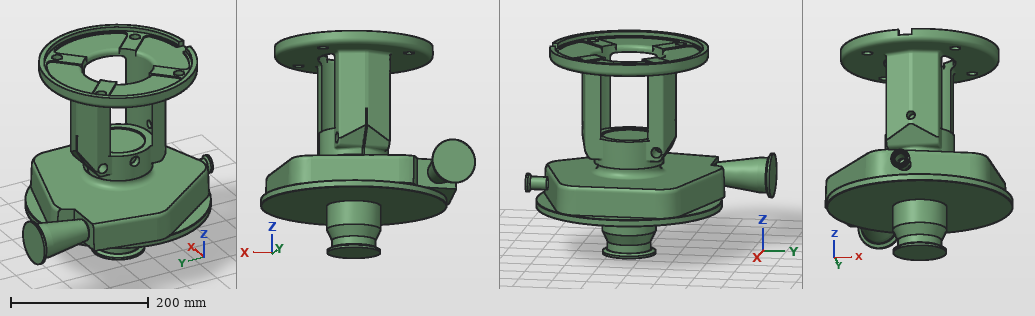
import cadquery as cq
import math

Z_NECK_TOP = 18.2
Z_BODY_START = 34.2
Z_PLATE_BOTTOM = 69.0
Z_CASING_BOTTOM = 79.0
Z_CASING_TOP = 121.0
Z_HUB_BOTTOM = 135.5
Z_LEG_BOTTOM = 145.3
Z_HUB_TOP = 176.0
Z_FLANGE_BOTTOM = 286.8
Z_FLANGE_TOP = 305.0

SUCTION_BODY_RADIUS = 39.25
SUCTION_NECK_RADIUS = 31.75
SUCTION_RIM_RADIUS = 38.6
PLATE_RADIUS = 135.0
PLATE_CHAMFER = 0.8

CASING_RADIUS = 35.0
CASING_CORNERS = [
    (115.6, -82.8),
    (115.6, 85.6),
    (-39.0, 133.4),
    (-121.6, 121.0),
    (-142.6, -0.6),
    (-43.0, -135.8),
]
UNROUNDED_CORNER = 3
CASING_DRAFT = 2.0
CASING_EDGE_RADIUS = 8.5
CASING_EDGE_EXCESS = 1.6
OUTLET_FACE_Y = 109.6
OUTLET_FACE_END_X = -64.8
OUTLET_SHOULDER_ANGLE = 61.0

HUB_RADIUS = 50.3
HUB_NECK_RADIUS = 45.2
HUB_NECK_FILLET = 10.0
HUB_RECESS_RADIUS = 39.6
HUB_RECESS_DEPTH = 2.0
HUB_RECESS_TAPER = 0.8
HUB_HOLE_Z = 164.0

CLAMP_HOLE_DIAMETER = 15.0
CLAMP_HOLE_Y = 47.2
CLAMP_HOLE_Z = 159.0
CLAMP_SLIT_WIDTH = 2.4
CLAMP_SLIT_TOP = 200.0

LEG_HALF_WIDTH = 38.8
LEG_RIDGE_Y = 68.7
LEG_RIDGE_HALF_WIDTH = 2.35
LEG_SIDE_Y = 57.6
LEG_EDGE_RADIUS = 3.0
LEG_TOP_FILLET = 5.0
LEG_HUB_FILLET = 3.0
LEG_BEVEL_TOP_Z = 175.0
LEG_BEVEL_ANGLE = 29.0
LEG_BEVEL_RADIUS = 8.0
LEG_HOLE_DIAMETER = 12.0
LEG_HOLE_Z = 188.3

FLANGE_RADIUS = 115.0
FLANGE_EDGE_RADIUS = 7.0
FLANGE_BORE_RADIUS = 52.0
FLANGE_BORE_ROUND = 6.0
RIM_INNER_RADIUS = 107.3
RECESS_DEPTH = 6.2
POCKET_DEPTH = 2.1
POCKET_OUTER_RADIUS = 103.4
POCKET_CORNER_RADIUS = 8.0
SPOKE_WIDTH = 24.4
BOLT_CIRCLE_RADIUS = 91.8
BOLT_HOLE_DIAMETER = 15.0
SPOKE_COUNT = 4
FIRST_SPOKE_ANGLE = 45.0
NOTCH_WIDTH = 20.0

OUTLET_X = -96.0
OUTLET_Z = 101.5
OUTLET_END_Y = 194.75
OUTLET_RIM_RADIUS = 32.0
OUTLET_NECK_RADIUS = 25.6
OUTLET_NECK_START_Y = 176.0
OUTLET_ROOT_RADIUS = 16.2
OUTLET_ROOT_Y = 112.0
OUTLET_ROOT_CHAMFER = 2.5

DRAIN_Z = 98.4
DRAIN_END_Y = -150.75
DRAIN_RADIUS = 9.5
DRAIN_RIM_RADIUS = 13.4
DRAIN_BORE_RADIUS = 8.0
DRAIN_BORE_DEPTH = 30.0
DRAIN_GROOVE_RADIUS = 9.9
DRAIN_GROOVE_SECTION_RADIUS = 1.1

RIM_THICKNESS = 3.4
RIM_TAPER = 3.0
RIM_ROOT = 1.2

BEYOND_PART = 200.0
OVERLAP = 1.0
SEAM_TOLERANCE = 0.01


def revolve_profile(points):
    """Turn (radius, height) points into a solid of revolution about Z."""
    return cq.Workplane("XZ").polyline(points).close().revolve(360, (0, 0, 0), (0, 1, 0))


def disc(radius, bottom, top):
    return cq.Workplane("XY").workplane(offset=bottom).circle(radius).extrude(top - bottom)


def make_suction_port():
    return revolve_profile([
        (0, 0),
        (SUCTION_RIM_RADIUS, 0),
        (SUCTION_RIM_RADIUS, RIM_THICKNESS),
        (SUCTION_NECK_RADIUS + RIM_ROOT, RIM_THICKNESS + RIM_TAPER),
        (SUCTION_NECK_RADIUS, RIM_THICKNESS + RIM_TAPER),
        (SUCTION_NECK_RADIUS, Z_NECK_TOP),
        (SUCTION_BODY_RADIUS, Z_BODY_START),
        (SUCTION_BODY_RADIUS, Z_PLATE_BOTTOM),
        (0, Z_PLATE_BOTTOM),
    ])


def make_plate():
    plate = disc(PLATE_RADIUS, Z_PLATE_BOTTOM, Z_CASING_BOTTOM)
    return plate.edges().chamfer(PLATE_CHAMFER)


def rounded_outline(corners, radius, sharp_index):
    """Polygon with every corner rounded except the one at sharp_index."""
    tangents = []
    for i, corner in enumerate(corners):
        vertex = cq.Vector(*corner)
        before = (cq.Vector(*corners[i - 1]) - vertex).normalized()
        after = (cq.Vector(*corners[(i + 1) % len(corners)]) - vertex).normalized()
        if i == sharp_index:
            tangents.append((vertex, None, vertex))
            continue
        half_angle = before.getAngle(after) / 2
        setback = radius / math.tan(half_angle)
        bisector = (before + after).normalized()
        middle = vertex + bisector * (radius / math.sin(half_angle) - radius)
        tangents.append((vertex + before * setback, middle, vertex + after * setback))
    outline = cq.Workplane("XY").workplane(offset=Z_CASING_BOTTOM)
    outline = outline.moveTo(*tangents[0][2].toTuple()[:2])
    for start, middle, end in tangents[1:] + tangents[:1]:
        outline = outline.lineTo(start.x, start.y)
        if middle is not None:
            outline = outline.threePointArc((middle.x, middle.y), (end.x, end.y))
    return outline.close()


def make_casing():
    outline = rounded_outline(CASING_CORNERS, CASING_RADIUS, UNROUNDED_CORNER)
    height = Z_CASING_TOP - Z_CASING_BOTTOM
    casing = outline.extrude(height + CASING_EDGE_EXCESS, taper=CASING_DRAFT)
    casing = casing.faces(">Z").edges().fillet(CASING_EDGE_RADIUS)
    casing = casing.intersect(disc(BEYOND_PART, Z_CASING_BOTTOM, Z_CASING_TOP))
    step = BEYOND_PART - OUTLET_FACE_Y
    shoulder_x = OUTLET_FACE_END_X + step / math.tan(math.radians(OUTLET_SHOULDER_ANGLE))
    notch = (
        cq.Workplane("XY")
        .workplane(offset=Z_CASING_BOTTOM)
        .polyline([
            (-BEYOND_PART, OUTLET_FACE_Y),
            (OUTLET_FACE_END_X, OUTLET_FACE_Y),
            (shoulder_x, OUTLET_FACE_Y + step),
            (-BEYOND_PART, OUTLET_FACE_Y + step),
        ])
        .close()
        .extrude(height)
    )
    return casing.cut(notch)


def make_hub():
    fillet_top = Z_CASING_TOP + HUB_NECK_FILLET
    foot_radius = HUB_NECK_RADIUS + HUB_NECK_FILLET
    bend = HUB_NECK_FILLET * (1 - math.sqrt(0.5))
    recess_floor = Z_HUB_TOP - HUB_RECESS_DEPTH
    return (
        cq.Workplane("XZ")
        .moveTo(0, Z_CASING_TOP)
        .lineTo(foot_radius, Z_CASING_TOP)
        .threePointArc((HUB_NECK_RADIUS + bend, Z_CASING_TOP + bend), (HUB_NECK_RADIUS, fillet_top))
        .lineTo(HUB_NECK_RADIUS, Z_HUB_BOTTOM)
        .lineTo(HUB_RADIUS, Z_HUB_BOTTOM)
        .lineTo(HUB_RADIUS, Z_HUB_TOP)
        .lineTo(HUB_RECESS_RADIUS, Z_HUB_TOP)
        .lineTo(HUB_RECESS_RADIUS - HUB_RECESS_TAPER, recess_floor)
        .lineTo(0, recess_floor)
        .close()
        .revolve(360, (0, 0, 0), (0, 1, 0))
    )


def make_leg():
    """Leg on the -Y side: ridged outer face, bevelled foot, round inner face."""
    column = (
        cq.Workplane("XY")
        .workplane(offset=Z_LEG_BOTTOM)
        .polyline([
            (-LEG_HALF_WIDTH, 0),
            (-LEG_HALF_WIDTH, -LEG_SIDE_Y),
            (-LEG_RIDGE_HALF_WIDTH, -LEG_RIDGE_Y),
            (LEG_RIDGE_HALF_WIDTH, -LEG_RIDGE_Y),
            (LEG_HALF_WIDTH, -LEG_SIDE_Y),
            (LEG_HALF_WIDTH, 0),
        ])
        .close()
        .extrude(Z_FLANGE_BOTTOM - Z_LEG_BOTTOM)
    )
    bevel_drop = LEG_BEVEL_TOP_Z - Z_LEG_BOTTOM
    bevel_foot_y = LEG_RIDGE_Y - bevel_drop * math.tan(math.radians(LEG_BEVEL_ANGLE))
    bevel = (
        cq.Workplane("YZ")
        .polyline([
            (-LEG_RIDGE_Y, LEG_BEVEL_TOP_Z),
            (-bevel_foot_y, Z_LEG_BOTTOM),
            (-LEG_RIDGE_Y, Z_LEG_BOTTOM),
        ])
        .close()
        .extrude(LEG_HALF_WIDTH, both=True)
    )
    leg = column.cut(bevel)
    foot_edge = cq.selectors.NearestToPointSelector((0, -bevel_foot_y, Z_LEG_BOTTOM))
    leg = leg.edges(foot_edge).fillet(LEG_BEVEL_RADIUS)
    side_edges = leg.faces("<X or >X").edges("not(>Y or >Z)")
    leg = side_edges.fillet(LEG_EDGE_RADIUS)
    leg = leg.cut(disc(FLANGE_BORE_RADIUS, Z_HUB_TOP, Z_FLANGE_BOTTOM))
    return leg.cut(disc(HUB_RADIUS - OVERLAP, Z_LEG_BOTTOM, Z_HUB_TOP))


def make_pocket(floor, top):
    """Quadrant pocket between two spokes, centred on +X."""
    pocket = disc(POCKET_OUTER_RADIUS, floor, top)
    wedge_apex = SPOKE_WIDTH / 2 * math.sqrt(2)
    wedge = (
        cq.Workplane("XY")
        .workplane(offset=floor)
        .polyline([
            (wedge_apex, 0),
            (FLANGE_RADIUS + wedge_apex, FLANGE_RADIUS),
            (FLANGE_RADIUS + wedge_apex, -FLANGE_RADIUS),
        ])
        .close()
        .extrude(top - floor)
    )
    pocket = pocket.intersect(wedge)
    return pocket.edges("|Z and (>Y or <Y)").fillet(POCKET_CORNER_RADIUS)


def make_flange_disc():
    flange = disc(FLANGE_RADIUS, Z_FLANGE_BOTTOM, Z_FLANGE_TOP)
    return flange.faces("<Z").edges().fillet(FLANGE_EDGE_RADIUS)


def cut_flange(body):
    """Recess, pockets, bore, notch and bolt holes of the motor flange."""
    recess_floor = Z_FLANGE_TOP - RECESS_DEPTH
    pocket_floor = recess_floor - POCKET_DEPTH
    body = body.cut(disc(RIM_INNER_RADIUS, recess_floor, Z_FLANGE_TOP))
    body = body.cut(disc(FLANGE_BORE_RADIUS, Z_FLANGE_BOTTOM, Z_FLANGE_TOP))
    round_end = FLANGE_BORE_RADIUS + FLANGE_BORE_ROUND
    bend = FLANGE_BORE_ROUND * (1 - math.sqrt(0.5))
    rounding = (
        cq.Workplane("XZ")
        .moveTo(0, pocket_floor - FLANGE_BORE_ROUND)
        .lineTo(FLANGE_BORE_RADIUS, pocket_floor - FLANGE_BORE_ROUND)
        .threePointArc((FLANGE_BORE_RADIUS + bend, pocket_floor - bend), (round_end, pocket_floor))
        .lineTo(round_end, Z_FLANGE_TOP)
        .lineTo(0, Z_FLANGE_TOP)
        .close()
        .revolve(360, (0, 0, 0), (0, 1, 0))
    )
    pocket = make_pocket(pocket_floor, recess_floor)
    rounding = rounding.intersect(make_pocket(Z_FLANGE_BOTTOM, recess_floor))
    hollow = pocket.union(rounding)
    for i in range(SPOKE_COUNT):
        body = body.cut(hollow.rotate((0, 0, 0), (0, 0, 1), i * 360 / SPOKE_COUNT))
    notch_length = FLANGE_RADIUS - FLANGE_BORE_RADIUS - 2 * FLANGE_BORE_ROUND
    notch = cq.Workplane("XY").box(
        NOTCH_WIDTH, notch_length, Z_FLANGE_TOP - pocket_floor, centered=(True, False, False)
    )
    body = body.cut(notch.translate((0, -FLANGE_RADIUS, pocket_floor)))
    bolts = (
        cq.Workplane("XY")
        .workplane(offset=Z_FLANGE_BOTTOM)
        .polarArray(BOLT_CIRCLE_RADIUS, FIRST_SPOKE_ANGLE, 360, SPOKE_COUNT)
        .circle(BOLT_HOLE_DIAMETER / 2)
        .extrude(Z_FLANGE_TOP - Z_FLANGE_BOTTOM)
    )
    return body.cut(bolts)


def make_bracket():
    """Hub, both legs and the motor flange with their blending fillets."""
    leg = make_leg()
    body = make_flange_disc().union(leg).union(leg.mirror("XZ"))
    under_flange = cq.selectors.BoxSelector(
        (-FLANGE_RADIUS, -FLANGE_RADIUS, Z_FLANGE_BOTTOM - SEAM_TOLERANCE),
        (FLANGE_RADIUS, FLANGE_RADIUS, Z_FLANGE_BOTTOM + SEAM_TOLERANCE),
    )
    root_edges = body.edges(under_flange).filter(is_leg_root_edge)
    body = root_edges.fillet(LEG_TOP_FILLET)
    body = cut_flange(body.union(make_hub()))
    hub_seams = body.edges().filter(is_hub_seam)
    return hub_seams.fillet(LEG_HUB_FILLET)


def is_leg_root_edge(edge):
    """True for the straight edges around a leg, false for bore arcs and the flange rim."""
    return edge.geomType() == "LINE"


def is_hub_seam(edge):
    """True for the lower edges where a leg meets the hub cylinder."""
    points = [edge.positionAt(t) for t in (0, 0.5, 1)]
    on_hub = all(abs(math.hypot(p.x, p.y) - HUB_RADIUS) < SEAM_TOLERANCE for p in points)
    in_span = all(Z_LEG_BOTTOM - OVERLAP < p.z < Z_HUB_TOP + OVERLAP for p in points)
    return on_hub and in_span and edge.Center().z < Z_HUB_TOP - OVERLAP


def cut_clamp(body):
    """Clamp slit and cross holes."""
    slit_height = CLAMP_SLIT_TOP - Z_HUB_BOTTOM
    slit = cq.Workplane("XY").box(
        CLAMP_SLIT_WIDTH, LEG_RIDGE_Y - HUB_RECESS_RADIUS, slit_height, centered=(True, False, False)
    )
    body = body.cut(slit.translate((0, HUB_RECESS_RADIUS, Z_HUB_BOTTOM)))
    clamp_hole = (
        cq.Workplane("YZ")
        .center(CLAMP_HOLE_Y, CLAMP_HOLE_Z)
        .circle(CLAMP_HOLE_DIAMETER / 2)
        .extrude(LEG_HALF_WIDTH, both=True)
    )
    hub_hole = (
        cq.Workplane("YZ", origin=(-HUB_RADIUS, 0, HUB_HOLE_Z))
        .circle(CLAMP_HOLE_DIAMETER / 2)
        .extrude(HUB_RADIUS - HUB_RECESS_RADIUS)
    )
    leg_hole = (
        cq.Workplane("XZ", origin=(0, 0, LEG_HOLE_Z))
        .circle(LEG_HOLE_DIAMETER / 2)
        .extrude(LEG_RIDGE_Y)
    )
    return body.cut(clamp_hole).cut(hub_hole).cut(leg_hole)


def make_outlet():
    length = OUTLET_END_Y - OUTLET_FACE_Y
    port = revolve_profile([
        (0, 0),
        (OUTLET_RIM_RADIUS, 0),
        (OUTLET_RIM_RADIUS, RIM_THICKNESS),
        (OUTLET_NECK_RADIUS + RIM_ROOT, RIM_THICKNESS + RIM_TAPER),
        (OUTLET_NECK_RADIUS, RIM_THICKNESS + RIM_TAPER),
        (OUTLET_NECK_RADIUS, OUTLET_END_Y - OUTLET_NECK_START_Y),
        (OUTLET_ROOT_RADIUS, OUTLET_END_Y - OUTLET_ROOT_Y),
        (OUTLET_ROOT_RADIUS - OUTLET_ROOT_CHAMFER, length),
        (0, length),
    ])
    port = port.rotate((0, 0, 0), (1, 0, 0), 90)
    return port.translate((OUTLET_X, OUTLET_END_Y, OUTLET_Z))


def make_drain():
    length = -DRAIN_END_Y - HUB_RADIUS
    port = revolve_profile([
        (0, 0),
        (DRAIN_RIM_RADIUS, 0),
        (DRAIN_RIM_RADIUS, RIM_THICKNESS),
        (DRAIN_RADIUS, RIM_THICKNESS + RIM_TAPER),
        (DRAIN_RADIUS, length),
        (0, length),
    ])
    port = port.rotate((0, 0, 0), (1, 0, 0), -90)
    return port.translate((0, DRAIN_END_Y, DRAIN_Z))


def make_drain_bore():
    """Bore of the drain and the round-bottomed gasket groove in its face."""
    origin = (0, DRAIN_END_Y, DRAIN_Z)
    bore = cq.Workplane("XZ", origin=origin).circle(DRAIN_BORE_RADIUS).extrude(-DRAIN_BORE_DEPTH)
    groove = cq.Solid.makeTorus(
        DRAIN_GROOVE_RADIUS, DRAIN_GROOVE_SECTION_RADIUS, cq.Vector(*origin), cq.Vector(0, 1, 0)
    )
    return bore.union(cq.Workplane(groove))


result = (
    make_suction_port()
    .union(make_plate())
    .union(make_casing())
    .union(cut_clamp(make_bracket()))
    .union(make_outlet())
    .union(make_drain())
    .cut(make_drain_bore())
)